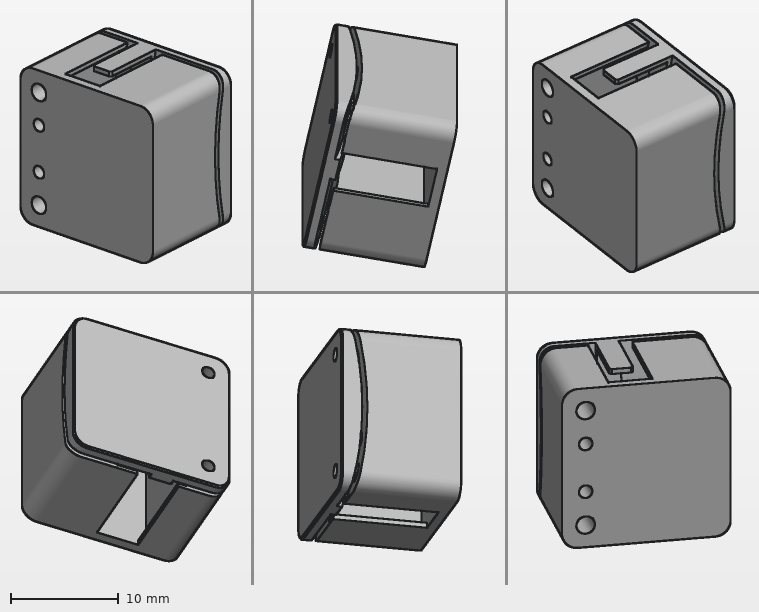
import cadquery as cq

side = 16.0
depth = 11.5
corner_radius = 1.5

joint_gap = 0.5
lid_edge_thickness = 1.0
lid_middle_thickness = 2.0
lid_edge_y = depth - lid_edge_thickness
lid_middle_y = depth - lid_middle_thickness
back_chamfer = 0.16

slot_left = -3.4
slot_width = 4.2
slot_front_y = 1.0

cavity_left = -4.24
cavity_right = 2.77
cavity_wall = 0.5

tab_left = -2.62
tab_width = 2.22
tab_thickness = 0.5
tab_tip_y = 4.0
tab_tip_chamfer = 0.2

hole_x = 5.76
screw_z = 5.76
pin_z = 2.4
screw_clearance_diameter = 1.75
small_hole_diameter = 1.26
lid_blind_hole_depth = 1.0


def rounded_block():
    """Full outer block, before it is split into case and lid."""
    return (
        cq.Workplane("XY")
        .box(side, depth, side, centered=(True, False, True))
        .edges("|Y")
        .fillet(corner_radius)
    )


def space_in_front(edge_y, middle_y):
    """Everything in front of the curved joint face, which bows forward at mid height."""
    half = side / 2
    return (
        cq.Workplane("YZ")
        .moveTo(0, -half)
        .lineTo(edge_y, -half)
        .threePointArc((middle_y, 0), (edge_y, half))
        .lineTo(0, half)
        .close()
        .extrude(half, both=True)
    )


def holes(x, z, diameter, start_y, end_y):
    """A pair of round holes along Y, at +z and -z."""
    cutters = cq.Workplane("XY")
    for hole_z in (z, -z):
        cutter = cq.Solid.makeCylinder(
            diameter / 2, end_y - start_y, cq.Vector(x, start_y, hole_z), cq.Vector(0, 1, 0)
        )
        cutters = cutters.add(cutter)
    return cutters.combine()


def make_case():
    front_space = space_in_front(lid_edge_y - joint_gap, lid_middle_y - joint_gap)
    case = rounded_block().intersect(front_space)
    slot = cq.Workplane("XY").box(slot_width, depth, side, centered=(False, False, True))
    case = case.cut(slot.translate((slot_left, slot_front_y, 0)))
    cavity_width = cavity_right - cavity_left
    cavity_height = side - 2 * cavity_wall
    cavity = cq.Workplane("XY").box(cavity_width, depth, cavity_height, centered=(False, False, True))
    case = case.cut(cavity.translate((cavity_left, slot_front_y, 0)))
    case = case.cut(holes(-hole_x, screw_z, screw_clearance_diameter, 0, depth))
    return case.cut(holes(-hole_x, pin_z, small_hole_diameter, 0, depth))


def make_tab():
    tab_length = lid_edge_y + lid_edge_thickness / 2 - tab_tip_y
    return (
        cq.Workplane("XY")
        .box(tab_width, tab_length, tab_thickness, centered=False)
        .edges("|Z and <Y")
        .chamfer(tab_tip_chamfer)
        .translate((tab_left, tab_tip_y, side / 2 - tab_thickness))
    )


def make_rib():
    """Full-height rib under the tab that fills the thickness of the joint gap."""
    band = cq.Workplane("XY").box(tab_width, depth, side, centered=(False, False, True))
    band = band.translate((tab_left, 0, 0))
    band = band.intersect(space_in_front(lid_edge_y, lid_middle_y))
    return band.cut(space_in_front(lid_edge_y - joint_gap, lid_middle_y - joint_gap))


def make_lid():
    plate = rounded_block().faces(">Y").edges().chamfer(back_chamfer)
    lid = plate.cut(space_in_front(lid_edge_y, lid_middle_y)).union(make_rib()).union(make_tab())
    lid = lid.cut(holes(-hole_x, screw_z, small_hole_diameter, 0, depth))
    blind_end_y = lid_middle_y + lid_blind_hole_depth
    return lid.cut(holes(hole_x, screw_z, small_hole_diameter, 0, blind_end_y))


case = make_case()
lid = make_lid()
result = cq.Compound.makeCompound([case.val(), lid.val()])